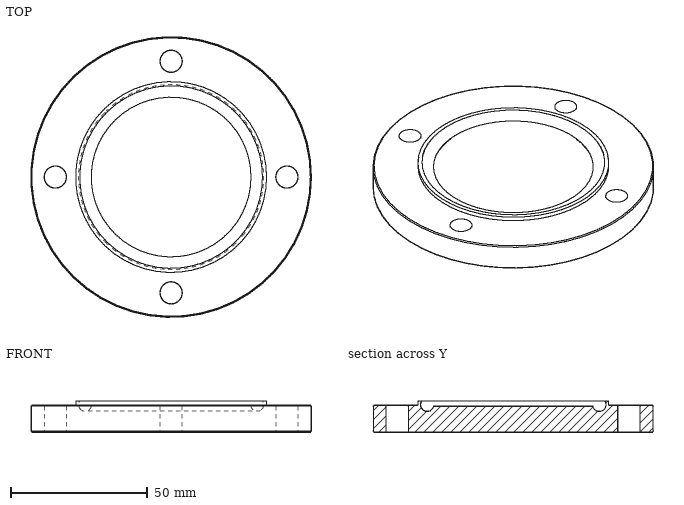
import cadquery as cq
import math

flange_diameter = 103.0
flange_height = 10.0
edge_chamfer = 0.4

face_diameter = 70.0
face_height = 1.5
recess_depth = 2.0

groove_centre_diameter = 63.2
groove_centre_depth = 1.4
groove_section_radius = 2.4

bolt_circle_diameter = 85.0
bolt_hole_diameter = 8.0
bolt_count = 4

total_height = flange_height + face_height
recess_floor_z = total_height - recess_depth
groove_centre_radius = groove_centre_diameter / 2
groove_centre_z = total_height - groove_centre_depth
groove_bottom_z = groove_centre_z - groove_section_radius

floor_below_centre = groove_centre_z - recess_floor_z
floor_radius = groove_centre_radius - math.sqrt(groove_section_radius**2 - floor_below_centre**2)
rim_radius = groove_centre_radius + math.sqrt(groove_section_radius**2 - groove_centre_depth**2)


def make_flange():
    disc = cq.Workplane("XY").circle(flange_diameter / 2).extrude(flange_height)
    return disc.edges().chamfer(edge_chamfer)


def make_raised_face():
    return cq.Workplane("XY").circle(face_diameter / 2).extrude(total_height)


def make_recess():
    """Recessed flat and groove together; the groove's outer side slightly undercuts the rim."""
    profile = (
        cq.Workplane("XZ")
        .moveTo(0, recess_floor_z)
        .lineTo(floor_radius, recess_floor_z)
        .threePointArc((groove_centre_radius, groove_bottom_z), (rim_radius, total_height))
        .lineTo(0, total_height)
        .close()
    )
    return profile.revolve(360, (0, 0, 0), (0, 1, 0))


def make_bolt_holes():
    return (
        cq.Workplane("XY")
        .polarArray(bolt_circle_diameter / 2, 0, 360, bolt_count)
        .circle(bolt_hole_diameter / 2)
        .extrude(total_height)
    )


body = make_flange().union(make_raised_face())
result = body.cut(make_recess()).cut(make_bolt_holes())